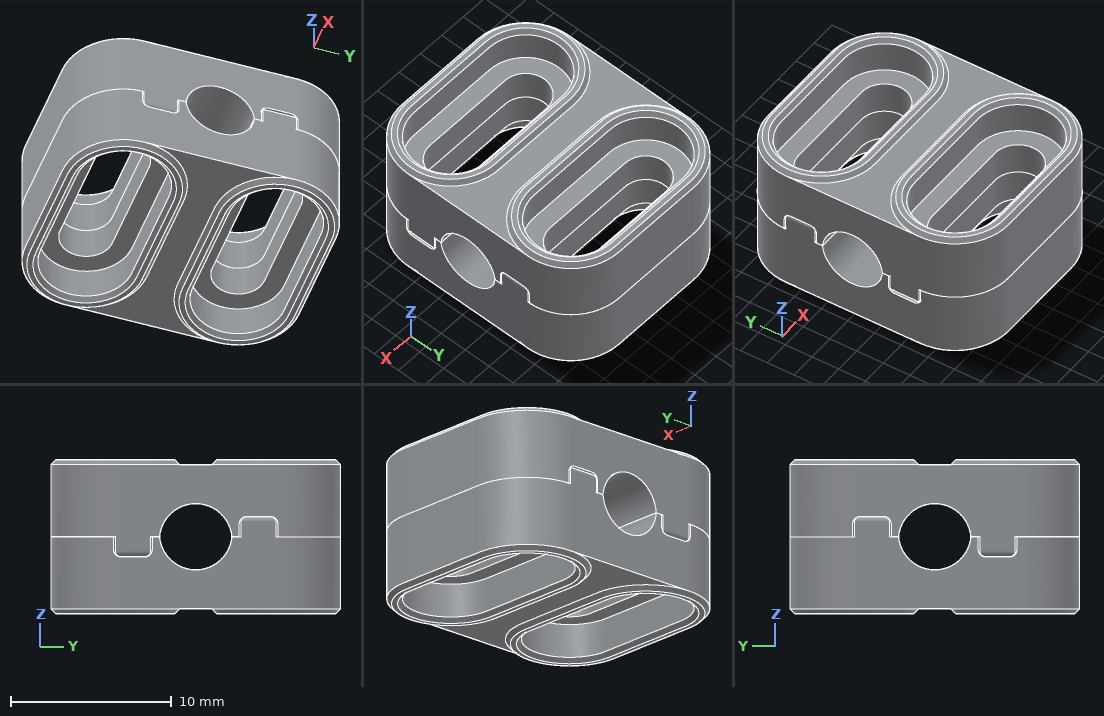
import cadquery as cq

length = 18.0
height = 9.6
half_height = height / 2
end_radius = 4.0
straight = 7.0
width = straight + 2 * end_radius
slot_offset = length / 2 - end_radius

rim_height = 0.3
plate_height = half_height - rim_height

pocket_radius = 3.0
pocket_depth = 2.5
slot_radius = 1.71
mouth_taper = -45

bore_radius = 2.25
bore_centre_drop = 0.2

tab_outer_y = slot_offset
tab_width = 2.2
tab_height = 1.22
tab_length = 1.5
tab_fillet = 0.3
tab_clearance = 0.1
roof_clearance = 0.04
recess_height = tab_height + roof_clearance
recess_fillet = 0.49


def stadium(radius, y, z, rise, taper=0):
    """Round-ended prism elongated along X; a negative taper in degrees widens it upwards."""
    span = straight + 2 * radius
    return cq.Workplane("XY", origin=(0, y, z)).slot2D(span, 2 * radius).extrude(rise, taper=taper)


def add_rims(half):
    """Bevelled rim rising from the plate around each slot."""
    for y in (-slot_offset, slot_offset):
        rim = stadium(end_radius, y, 0, half_height).faces(">Z").chamfer(rim_height)
        half = half.union(rim)
    return half


def cut_stepped_slots(half):
    """Pocket with a bevelled mouth and a through slot in its floor."""
    for y in (-slot_offset, slot_offset):
        pocket = stadium(pocket_radius, y, half_height - pocket_depth, pocket_depth)
        mouth = stadium(pocket_radius, y, plate_height, rim_height, mouth_taper)
        slot = stadium(slot_radius, y, 0, half_height)
        half = half.cut(pocket).cut(mouth).cut(slot)
    return half


def cut_bore(half):
    """Shallow half of the bore, with its axis just below the parting face."""
    bore = (
        cq.Workplane("YZ", origin=(-width / 2, 0, -bore_centre_drop))
        .circle(bore_radius)
        .extrude(width)
    )
    return half.cut(bore)


def open_end(x_side):
    """Selector for the end of a tab or recess that is flush with the clamp's X face."""
    return ">X" if x_side > 0 else "<X"


def tab(x_side):
    """Tab below the parting face on the -Y side, flush with one X end and rounded elsewhere."""
    x_centre = x_side * (width - tab_length) / 2
    y_centre = tab_width / 2 - tab_outer_y
    block = cq.Workplane("XY", origin=(x_centre, y_centre, 0))
    block = block.rect(tab_length, tab_width).extrude(-tab_height)
    return block.edges(f"not (>Z or (|Z and {open_end(x_side)}))").fillet(tab_fillet)


def recess(x_side):
    """Recess above the parting face on the +Y side, open at one X end and rounded inside."""
    depth = tab_length + tab_clearance
    x_centre = x_side * (width - depth) / 2
    y_centre = tab_outer_y - tab_width / 2
    block = cq.Workplane("XY", origin=(x_centre, y_centre, 0))
    block = block.rect(depth, tab_width + 2 * tab_clearance).extrude(recess_height)
    return block.edges(f"not (<Z or {open_end(x_side)})").fillet(recess_fillet)


def clamp_half():
    """Upper half of the clamp, resting on Z = 0."""
    half = cq.Workplane("XY").rect(width, length).extrude(plate_height)
    half = half.edges("|Z").fillet(end_radius)
    half = add_rims(half)
    half = cut_stepped_slots(half)
    half = cut_bore(half)
    for x_side in (-1, 1):
        half = half.cut(recess(x_side)).union(tab(x_side))
    return half.solids()


clamp_halves = []
for turn in (0, 180):
    clamp_halves.append(clamp_half().rotate((0, 0, 0), (1, 0, 0), turn).val())

result = cq.Compound.makeCompound(clamp_halves)